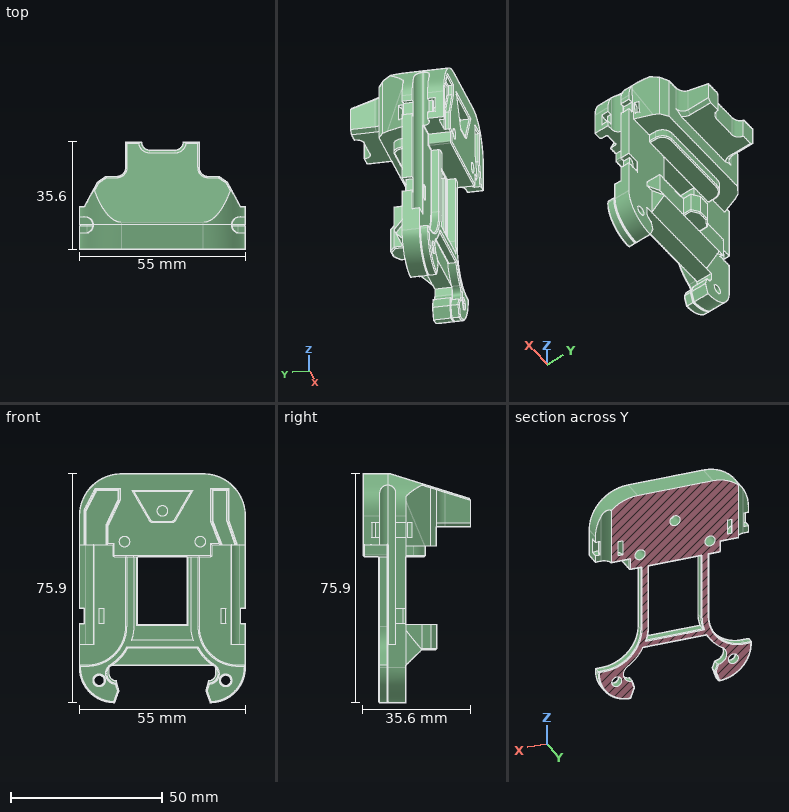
import cadquery as cq
import math

WIDTH = 55.0
HEIGHT = 75.87
DEPTH = 35.55
HALF_WIDTH = WIDTH / 2
TOP_RADIUS = 14.0
EDGE_CHAMFER = 0.4
TOLERANCE = 0.01
MARGIN = 1.0

FRAME_FRONT = 5.03
PANEL_FRONT = 8.24
PANEL_BACK = 14.15

COVER_BOTTOM = -23.55
TONGUE_BOTTOM = -27.5
TONGUE_HALF_WIDTH = 16.4
TONGUE_CORNER_RADIUS = 0.5
POCKET_TOP = -5.25
LEFT_POCKET_DEPTH = 2.0
RIGHT_POCKET_DEPTH = 2.7
POCKET_FLOOR_CHAMFER = 0.35
TRAPEZOID_DEPTH = 3.3
SCREW_HOLE_DIAMETER = 3.5
SCREW_HOLE_CENTRES = [(0, -12.3), (-12.55, -22.5), (12.55, -22.5)]
LEFT_POCKET_LEFT = -25.6
LEFT_POCKET = [
    (-22.0, POCKET_TOP), (-14.35, POCKET_TOP), (-14.35, -8.7), (-18.4, -17.2),
    (-18.4, COVER_BOTTOM - MARGIN), (LEFT_POCKET_LEFT, COVER_BOTTOM - MARGIN), (LEFT_POCKET_LEFT, -12.2),
]
RIGHT_POCKET = [
    (16.4, POCKET_TOP), (21.65, POCKET_TOP), (21.65, -15.6), (24.4, COVER_BOTTOM),
    (24.4, COVER_BOTTOM - MARGIN), (19.4, COVER_BOTTOM - MARGIN), (19.4, COVER_BOTTOM), (16.4, -15.85),
]
TRAPEZOID_TOP = -5.9
TRAPEZOID_BOTTOM = -15.75
TRAPEZOID_TOP_HALF = 9.4
TRAPEZOID_BOTTOM_HALF = 3.7
TRAPEZOID_CORNER_RADIUS = 0.8

CHANNEL_RADIUS = 2.65
CHANNEL_X = 25.5
CHANNEL_Y = 8.1
CHANNEL_TOP = -3.75
CHANNEL_BOTTOM = -56.5
CHANNEL_BEVEL = 0.3
STRAP_HEIGHT = 5.0
STRAP_NOTCH_X = 25.9
UPPER_STRAP_TOP = -16.1
UPPER_STRAP_Y = 9.4
UPPER_STRAP_RADII = (5.3, 6.8)
LOWER_STRAP_TOP = -44.6
LOWER_STRAP_Y = 8.6
LOWER_STRAP_RADII = (4.55, 6.1)

PANEL_BOTTOM = -63.45
LOBE_RADIUS = 11.67
LOBE_TIP_X = 15.83
LOBE_KNEE = (14.4, -71.9)
NOTCH_X = 15.28
NOTCH_Z = -66.2
NOTCH_DIAMETER = 4.7
NOTCH_FRONT_DIAMETER = 6.3
LOBE_HOLE_DIAMETER = 3.4
LOBE_HOLE_X = 20.95
LOBE_HOLE_Z = -68.42
WINDOW_HALF_WIDTH = 8.2
WINDOW_BOTTOM = -49.85
WINDOW_CHAMFER = 0.35

LEG_OUTER = 12.2
LEG_INNER = 9.43
LEG_BEND_Z = -50.6
LEG_BEND_RADIUS = 12.8
BAR_TOP = -55.1
BAR_BOTTOM = -57.7
FLARE_TOP = -50.8
FLARE_HALF_WIDTH = 10.2

SLOPE_START = 9.0
SLOPE_DROP = 8.3
TAB_HALF_WIDTH = 12.2
TAB_BOTTOM = -17.6
TAB_BOTTOM_CHAMFER = 1.3
TAB_ROOT_RADIUS = 2.9
RIM_CHAMFER = 0.5
SADDLE_CHAMFER = 1.0
BOSS_BOTTOM = -24.0
BOSS_BACK = 24.2
BOSS_FACET_BACK = 22.3
BOSS_FACET_INNER_X = 18.7
BOSS_FACET_OUTER_X = 21.5
BOSS_ROOT_X = 25.9
CORNER_CUT_TOP = -9.0
CORNER_CUT_BACK = 20.4
CORNER_CUT_DEPTH = 1.0
SADDLE_DEPTH = 2.65
SADDLE_HALF_WIDTH = 6.85
SADDLE_FLAT_HALF = 4.2
KEEL_BOTTOM = -27.55
KEEL_BACK = 20.6
KEEL_HALF_WIDTH = 16.3
KEEL_RADIUS = 4.0

BLOCK_TOP = WINDOW_BOTTOM
BLOCK_BOTTOM = -58.3
BLOCK_BACK = 19.4
BLOCK_HALF_WIDTH = 17.5
BLOCK_TAB_BACK = 24.4
BLOCK_TAB_HALF_WIDTH = 4.6
BLOCK_TAB_CORNER_X = 1.9
BLOCK_TAB_CORNER_Y = 22.5
GUSSET_HALF_WIDTH = 15.0
UNDERCUT_TOP = -51.9


def front_outline(y):
    """Sketch plane parallel to the front, at depth y."""
    return cq.Workplane("XZ", origin=(0, y, 0))


def prism(sketch, depth):
    """Extrude a front sketch towards the back."""
    return sketch.extrude(-depth)


def block(x_min, x_max, y_min, y_max, z_min, z_max):
    size = (x_max - x_min, y_max - y_min, z_max - z_min)
    return cq.Workplane("XY", origin=(x_min, y_min, z_min)).box(*size, centered=False)


def both_sides(left):
    return left.union(left.mirror("YZ"))


def head(bottom, y_min, y_max):
    """Plate with the two large top corner rounds."""
    plate = block(-HALF_WIDTH, HALF_WIDTH, y_min, y_max, bottom, 0)
    return plate.edges("|Y and >Z").fillet(TOP_RADIUS)


def side_channels():
    """Vertical channels open to the sides, rounded inside and at the top."""
    inner_x = CHANNEL_X - CHANNEL_RADIUS
    outer_x = HALF_WIDTH + MARGIN
    plan = (
        cq.Workplane("XY", origin=(0, CHANNEL_Y, CHANNEL_BOTTOM))
        .moveTo(-outer_x, -CHANNEL_RADIUS)
        .lineTo(-CHANNEL_X, -CHANNEL_RADIUS)
        .threePointArc((-inner_x, 0), (-CHANNEL_X, CHANNEL_RADIUS))
        .lineTo(-outer_x, CHANNEL_RADIUS)
        .close()
        .extrude(CHANNEL_TOP - CHANNEL_BOTTOM)
    )
    side = (
        cq.Workplane("YZ", origin=(-outer_x, CHANNEL_Y, 0))
        .moveTo(-CHANNEL_RADIUS, CHANNEL_BOTTOM)
        .lineTo(-CHANNEL_RADIUS, CHANNEL_TOP - CHANNEL_RADIUS)
        .threePointArc((0, CHANNEL_TOP), (CHANNEL_RADIUS, CHANNEL_TOP - CHANNEL_RADIUS))
        .lineTo(CHANNEL_RADIUS, CHANNEL_BOTTOM)
        .close()
        .extrude(outer_x - inner_x)
    )
    return both_sides(plan.intersect(side))


def strap_slots(top, centre_y, radii):
    """Ring-shaped slots round both channels, with notches in the side walls."""
    inner_radius, outer_radius = radii
    bottom = top - STRAP_HEIGHT
    ring = (
        cq.Workplane("XY", origin=(-CHANNEL_X, centre_y, bottom))
        .circle(outer_radius)
        .circle(inner_radius)
        .extrude(STRAP_HEIGHT)
    )
    notch_front = centre_y - inner_radius
    notch = block(-HALF_WIDTH - MARGIN, -STRAP_NOTCH_X, notch_front, PANEL_BACK + MARGIN, bottom, top)
    return both_sides(ring.union(notch))


def lobe_holes():
    centres = [(-LOBE_HOLE_X, LOBE_HOLE_Z), (LOBE_HOLE_X, LOBE_HOLE_Z)]
    holes = front_outline(FRAME_FRONT).pushPoints(centres).circle(LOBE_HOLE_DIAMETER / 2)
    return prism(holes, PANEL_BACK - FRAME_FRONT)


def chamfer_where(part, is_wanted, length):
    """Chamfer the edges for which is_wanted holds."""
    edges = part.edges().filter(is_wanted)
    return part.newObject(edges.vals()).chamfer(length)


def lies_at(edge, y):
    box = edge.BoundingBox()
    return max(abs(box.ymin - y), abs(box.ymax - y)) < TOLERANCE


channels = side_channels()
upper_slots = strap_slots(UPPER_STRAP_TOP, UPPER_STRAP_Y, UPPER_STRAP_RADII)
lower_slots = strap_slots(LOWER_STRAP_TOP, LOWER_STRAP_Y, LOWER_STRAP_RADII)


def make_frame():
    """Raised legs, cross bar and lobe faces in front of the panel."""
    knee_x, knee_z = LOBE_KNEE
    bend_x = -LEG_OUTER - LEG_BEND_RADIUS
    outer_mid = LEG_BEND_RADIUS * math.sqrt(0.5)
    outer_end_z = LEG_BEND_Z - LEG_BEND_RADIUS
    lobe_mid = LOBE_RADIUS * math.sqrt(0.5)
    lobe_centre_z = LOBE_RADIUS - HEIGHT
    flare_bulge = (FLARE_HALF_WIDTH - LEG_INNER) / 4

    notch_radius = NOTCH_FRONT_DIAMETER / 2
    notch_dx = -NOTCH_X - bend_x
    notch_dz = NOTCH_Z - LEG_BEND_Z
    inner_radius = math.hypot(notch_dx, notch_dz) - notch_radius
    tangent_angle = math.atan2(notch_dz, notch_dx)
    bar_angle = math.asin((BAR_BOTTOM - LEG_BEND_Z) / inner_radius)

    def on_inner_bend(angle):
        return bend_x + inner_radius * math.cos(angle), LEG_BEND_Z + inner_radius * math.sin(angle)

    left_half = prism(
        front_outline(FRAME_FRONT)
        .moveTo(0, BAR_TOP)
        .lineTo(-FLARE_HALF_WIDTH, BAR_TOP)
        .threePointArc((-LEG_INNER - flare_bulge, (BAR_TOP + FLARE_TOP) / 2), (-LEG_INNER, FLARE_TOP))
        .lineTo(-LEG_INNER, COVER_BOTTOM)
        .lineTo(-LEG_OUTER, COVER_BOTTOM)
        .lineTo(-LEG_OUTER, LEG_BEND_Z)
        .threePointArc((bend_x + outer_mid, LEG_BEND_Z - outer_mid), (bend_x, outer_end_z))
        .lineTo(-HALF_WIDTH, outer_end_z)
        .lineTo(-HALF_WIDTH, lobe_centre_z)
        .threePointArc((-LOBE_TIP_X - lobe_mid, lobe_centre_z - lobe_mid), (-LOBE_TIP_X, -HEIGHT))
        .lineTo(-knee_x, knee_z)
        .lineTo(-NOTCH_X, NOTCH_Z - notch_radius)
        .threePointArc((-NOTCH_X - notch_radius, NOTCH_Z), on_inner_bend(tangent_angle))
        .threePointArc(on_inner_bend((tangent_angle + bar_angle) / 2), on_inner_bend(bar_angle))
        .lineTo(0, BAR_BOTTOM)
        .close(),
        PANEL_FRONT - FRAME_FRONT,
    )
    return both_sides(left_half)


def is_front_rim(edge):
    """Pocket rims and the lower outline of the front face, without the outer rounds and sides."""
    centre = edge.Center()
    off_sides = abs(centre.x) < -LEFT_POCKET_LEFT + TOLERANCE
    return lies_at(edge, 0) and off_sides and centre.z < POCKET_TOP + TOLERANCE


def is_frame_rim(edge):
    """Front edges of the frame outside its central opening, which stays sharp."""
    box = edge.BoundingBox()
    near_middle = max(abs(box.xmin), abs(box.xmax)) < FLARE_HALF_WIDTH + TOLERANCE
    in_opening = near_middle and box.zmin > BAR_TOP - TOLERANCE
    return lies_at(edge, FRAME_FRONT) and box.zmin < TONGUE_BOTTOM - TOLERANCE and not in_opening


def is_back_rim(edge):
    """Straight back edges of the tongue and the frame, with the curves that run on from them."""
    is_low = edge.Center().z < COVER_BOTTOM + TOLERANCE
    return lies_at(edge, PANEL_FRONT) and is_low and edge.geomType() != "CIRCLE"


def make_cover():
    cover = head(COVER_BOTTOM, 0, PANEL_FRONT)
    tongue = block(-TONGUE_HALF_WIDTH, TONGUE_HALF_WIDTH, 0, PANEL_FRONT, TONGUE_BOTTOM, COVER_BOTTOM)
    cover = cover.union(tongue.edges("|Y and <Z").fillet(TONGUE_CORNER_RADIUS))
    cover = cover.union(make_frame())
    for outline, depth in ((LEFT_POCKET, LEFT_POCKET_DEPTH), (RIGHT_POCKET, RIGHT_POCKET_DEPTH)):
        pocket = prism(front_outline(0).polyline(outline).close(), depth)
        cover = cover.cut(pocket.faces(">Y").edges().chamfer(POCKET_FLOOR_CHAMFER))
    trapezoid = prism(
        front_outline(0)
        .polyline([
            (-TRAPEZOID_TOP_HALF, TRAPEZOID_TOP),
            (TRAPEZOID_TOP_HALF, TRAPEZOID_TOP),
            (TRAPEZOID_BOTTOM_HALF, TRAPEZOID_BOTTOM),
            (-TRAPEZOID_BOTTOM_HALF, TRAPEZOID_BOTTOM),
        ])
        .close(),
        TRAPEZOID_DEPTH,
    )
    cover = cover.cut(trapezoid.edges("|Y and <Z").fillet(TRAPEZOID_CORNER_RADIUS))
    cover = cover.cut(lobe_holes())
    cover = chamfer_where(cover, is_front_rim, EDGE_CHAMFER)
    cover = chamfer_where(cover, is_frame_rim, EDGE_CHAMFER)
    cover = chamfer_where(cover, is_back_rim, EDGE_CHAMFER)
    screw_circles = front_outline(0).pushPoints(SCREW_HOLE_CENTRES).circle(SCREW_HOLE_DIAMETER / 2)
    return cover.cut(prism(screw_circles, PANEL_FRONT)).cut(channels).cut(upper_slots)


def make_lobes():
    """Hooked lower corners, from the panel bottom down."""
    knee_x, knee_z = LOBE_KNEE
    lobe_mid = LOBE_RADIUS * math.sqrt(0.5)
    centre_z = LOBE_RADIUS - HEIGHT
    notch_radius = NOTCH_DIAMETER / 2
    notch_mid = notch_radius * math.sqrt(0.5)
    neck_x = NOTCH_X + notch_radius
    lobe = prism(
        front_outline(PANEL_FRONT)
        .moveTo(-HALF_WIDTH, PANEL_BOTTOM)
        .lineTo(-HALF_WIDTH, centre_z)
        .threePointArc((-LOBE_TIP_X - lobe_mid, centre_z - lobe_mid), (-LOBE_TIP_X, -HEIGHT))
        .lineTo(-knee_x, knee_z)
        .lineTo(-NOTCH_X, NOTCH_Z - notch_radius)
        .threePointArc((-NOTCH_X - notch_mid, NOTCH_Z - notch_mid), (-neck_x, NOTCH_Z))
        .lineTo(-neck_x, PANEL_BOTTOM)
        .close(),
        PANEL_BACK - PANEL_FRONT,
    )
    return both_sides(lobe)


def make_corner_cutter():
    """Tetrahedron that planes off the lower front corner of the boss."""
    slope_x = (BOSS_ROOT_X - BOSS_FACET_OUTER_X) / (BOSS_FACET_BACK - PANEL_BACK)
    back_x = -BOSS_ROOT_X + slope_x * (CORNER_CUT_BACK - PANEL_BACK)
    apex = cq.Vector(-BOSS_ROOT_X, PANEL_BACK, CORNER_CUT_TOP)
    back = cq.Vector(back_x, CORNER_CUT_BACK, BOSS_BOTTOM)
    outer = cq.Vector(-BOSS_ROOT_X, PANEL_BACK, BOSS_BOTTOM)
    inner = cq.Vector(-BOSS_ROOT_X + CORNER_CUT_DEPTH, PANEL_BACK, BOSS_BOTTOM)
    triangles = [(apex, back, outer), (apex, outer, inner), (apex, inner, back), (outer, back, inner)]
    faces = [cq.Face.makeFromWires(cq.Wire.makePolygon(corners, close=True)) for corners in triangles]
    return cq.Workplane(cq.Solid.makeSolid(cq.Shell.makeShell(faces)))


def make_slope_cutter():
    """Everything above the sloped top, with the slope run on past the back."""
    back_y = DEPTH + MARGIN
    back_z = -SLOPE_DROP * (back_y - SLOPE_START) / (DEPTH - SLOPE_START)
    return (
        cq.Workplane("YZ", origin=(-HALF_WIDTH - MARGIN, 0, 0))
        .moveTo(SLOPE_START, 0)
        .lineTo(back_y, back_z)
        .lineTo(back_y, MARGIN)
        .lineTo(SLOPE_START, MARGIN)
        .close()
        .extrude(WIDTH + 2 * MARGIN)
    )


def is_tab_foot(edge):
    """Lower side edges of the tab, with its curved roots."""
    box = edge.BoundingBox()
    on_bottom = abs(box.zmax - TAB_BOTTOM) < TOLERANCE
    on_side = abs(edge.Center().x) > TAB_HALF_WIDTH - TOLERANCE
    runs_back = box.ymin > BOSS_BACK - TOLERANCE and box.ymax - box.ymin > TOLERANCE
    return on_bottom and on_side and runs_back


def is_boss_rim(edge):
    """Edges of the sloped top along the tab and the back of the boss, without the saddle."""
    centre = edge.Center()
    slope_z = -(centre.y - SLOPE_START) * SLOPE_DROP / (DEPTH - SLOPE_START)
    on_slope = abs(centre.z - slope_z) < 5 * TOLERANCE
    in_saddle = abs(centre.x) < SADDLE_HALF_WIDTH
    return on_slope and centre.y > CORNER_CUT_BACK and not in_saddle


def is_saddle_rim(edge):
    """Edges of the sloped top round the saddle."""
    centre = edge.Center()
    in_saddle = abs(centre.x) < SADDLE_HALF_WIDTH and centre.y > DEPTH - SADDLE_DEPTH - TOLERANCE
    return in_saddle and centre.z > -SLOPE_DROP - TOLERANCE


def make_boss():
    """Sloped rear boss with its tab and saddle."""
    tab_front = BOSS_BACK - MARGIN
    root_x = TAB_HALF_WIDTH + TAB_ROOT_RADIUS
    wide = (
        cq.Workplane("XY", origin=(0, 0, BOSS_BOTTOM))
        .polyline([
            (-BOSS_ROOT_X, PANEL_BACK),
            (-BOSS_FACET_OUTER_X, BOSS_FACET_BACK),
            (-BOSS_FACET_INNER_X, BOSS_BACK),
            (BOSS_FACET_INNER_X, BOSS_BACK),
            (BOSS_FACET_OUTER_X, BOSS_FACET_BACK),
            (BOSS_ROOT_X, PANEL_BACK),
        ])
        .close()
        .extrude(-BOSS_BOTTOM)
    )
    wide = wide.cut(both_sides(make_corner_cutter()))
    saddle_radius = SADDLE_HALF_WIDTH - SADDLE_FLAT_HALF
    tab = (
        cq.Workplane("XY", origin=(0, 0, TAB_BOTTOM))
        .moveTo(-root_x, tab_front)
        .lineTo(-root_x, BOSS_BACK)
        .radiusArc((-TAB_HALF_WIDTH, BOSS_BACK + TAB_ROOT_RADIUS), -TAB_ROOT_RADIUS)
        .lineTo(-TAB_HALF_WIDTH, DEPTH)
        .lineTo(-SADDLE_HALF_WIDTH, DEPTH)
        .radiusArc((-SADDLE_FLAT_HALF, DEPTH - SADDLE_DEPTH), -saddle_radius)
        .lineTo(SADDLE_FLAT_HALF, DEPTH - SADDLE_DEPTH)
        .radiusArc((SADDLE_HALF_WIDTH, DEPTH), -saddle_radius)
        .lineTo(TAB_HALF_WIDTH, DEPTH)
        .lineTo(TAB_HALF_WIDTH, BOSS_BACK + TAB_ROOT_RADIUS)
        .radiusArc((root_x, BOSS_BACK), -TAB_ROOT_RADIUS)
        .lineTo(root_x, tab_front)
        .close()
        .extrude(-TAB_BOTTOM)
    )
    tab = chamfer_where(tab, is_tab_foot, TAB_BOTTOM_CHAMFER)
    boss = wide.union(tab).intersect(head(BOSS_BOTTOM, PANEL_BACK, DEPTH))
    boss = boss.cut(make_slope_cutter())
    boss = chamfer_where(boss, is_boss_rim, RIM_CHAMFER)
    return chamfer_where(boss, is_saddle_rim, SADDLE_CHAMFER)


def make_keel():
    """Rounded step below the boss."""
    keel = block(-KEEL_HALF_WIDTH, KEEL_HALF_WIDTH, PANEL_BACK, KEEL_BACK, KEEL_BOTTOM, BOSS_BOTTOM)
    keel = keel.edges("|Z and >Y").fillet(KEEL_RADIUS)
    return keel.faces("<Z").edges("not <Y").chamfer(EDGE_CHAMFER)


def make_rear_block():
    """Block behind the window's lower edge, with a tab at the back and a gusset below."""
    base = block(-BLOCK_HALF_WIDTH, BLOCK_HALF_WIDTH, PANEL_BACK, BLOCK_BACK, BLOCK_BOTTOM, BLOCK_TOP)
    tab = (
        cq.Workplane("XY", origin=(0, 0, BLOCK_BOTTOM))
        .polyline([
            (-BLOCK_TAB_HALF_WIDTH, BLOCK_BACK),
            (-BLOCK_TAB_HALF_WIDTH, BLOCK_TAB_CORNER_Y),
            (-BLOCK_TAB_CORNER_X, BLOCK_TAB_BACK),
            (BLOCK_TAB_CORNER_X, BLOCK_TAB_BACK),
            (BLOCK_TAB_HALF_WIDTH, BLOCK_TAB_CORNER_Y),
            (BLOCK_TAB_HALF_WIDTH, BLOCK_BACK),
        ])
        .close()
        .extrude(BLOCK_TOP - BLOCK_BOTTOM)
    )
    tab = tab.faces("<Z").edges("not <Y").chamfer(EDGE_CHAMFER)
    undercut = (
        cq.Workplane("YZ", origin=(-BLOCK_HALF_WIDTH, 0, 0))
        .polyline([(BLOCK_BACK, BLOCK_BOTTOM), (PANEL_BACK, UNDERCUT_TOP), (PANEL_BACK, BLOCK_BOTTOM)])
        .close()
        .extrude(BLOCK_HALF_WIDTH - GUSSET_HALF_WIDTH)
    )
    gusset = (
        cq.Workplane("YZ", origin=(-GUSSET_HALF_WIDTH, 0, 0))
        .polyline([(BLOCK_BACK, BLOCK_BOTTOM), (PANEL_BACK, BLOCK_BOTTOM), (PANEL_BACK, PANEL_BOTTOM)])
        .close()
        .extrude(2 * GUSSET_HALF_WIDTH)
    )
    return base.cut(both_sides(undercut)).union(tab).union(gusset)


def is_window_rim(edge):
    """Front edges of the window, below the tongue."""
    centre = edge.Center()
    in_width = abs(centre.x) < WINDOW_HALF_WIDTH + TOLERANCE
    in_height = WINDOW_BOTTOM - TOLERANCE < centre.z < TONGUE_BOTTOM - MARGIN
    return lies_at(edge, PANEL_FRONT) and in_width and in_height


def channel_bevels():
    """Bevels where the channels meet the panel face, below the cover."""
    rim_x = CHANNEL_X - CHANNEL_RADIUS - CHANNEL_BEVEL / 2
    bevel = (
        cq.Workplane("XY", origin=(0, 0, CHANNEL_BOTTOM))
        .polyline([
            (-rim_x, PANEL_FRONT),
            (-rim_x - CHANNEL_BEVEL, PANEL_FRONT + CHANNEL_BEVEL),
            (-CHANNEL_X, PANEL_FRONT + CHANNEL_BEVEL),
            (-CHANNEL_X, PANEL_FRONT),
        ])
        .close()
        .extrude(COVER_BOTTOM - CHANNEL_BOTTOM)
    )
    return both_sides(bevel)


def make_body():
    body = head(PANEL_BOTTOM, PANEL_FRONT, PANEL_BACK).cut(make_slope_cutter())
    body = body.union(make_lobes()).union(make_boss())
    body = body.union(make_keel()).union(make_rear_block())
    window = block(
        -WINDOW_HALF_WIDTH, WINDOW_HALF_WIDTH, PANEL_FRONT, PANEL_BACK, WINDOW_BOTTOM, TONGUE_BOTTOM
    )
    body = body.cut(window).cut(channels).cut(upper_slots).cut(lower_slots).cut(lobe_holes())
    body = body.cut(channel_bevels())
    return chamfer_where(body, is_window_rim, WINDOW_CHAMFER)


cover = make_cover()
body = make_body()
result = cq.Compound.makeCompound([cover.val(), body.val()])